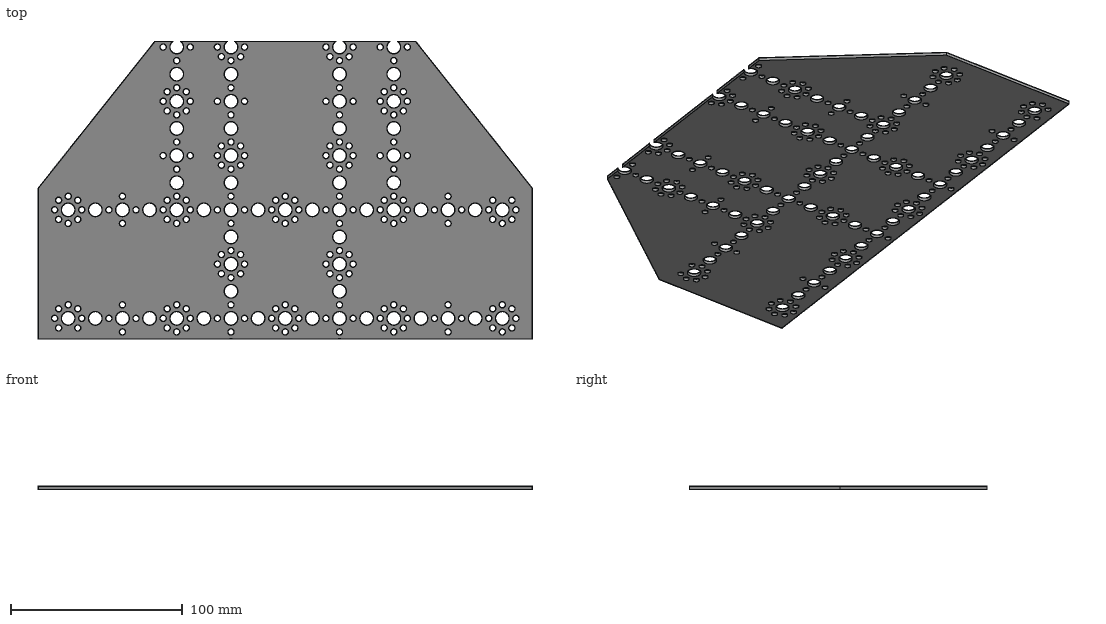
import cadquery as cq
import math

WIDTH = 288.0
DEPTH = 173.5
THICKNESS = 2.0
BACK_EDGE_LENGTH = 152.0
SIDE_EDGE_LENGTH = 87.8

LAST_COLUMN = 8
LAST_ROW = 10
ROW_SPAN = 253.0
PITCH = ROW_SPAN / (2 * LAST_COLUMN)
FRONT_ROW_MARGIN = 12.0
LARGE_DIAMETER = 7.8
SMALL_DIAMETER = 3.5
RING_RADIUS = PITCH / 2

FULL_ROWS = (0, 4)
COLUMN_START_ROWS = {-4: 4, -2: -1, 2: -1, 4: 4}

OMITTED_RING_HOLES = ((-LAST_COLUMN, 0, 270), (LAST_COLUMN, 4, 90))


def grid_cells():
    """Grid cells (column, row) holding a large hole, along all rows and columns of the pattern."""
    cells = set()
    for row in FULL_ROWS:
        for column in range(-LAST_COLUMN, LAST_COLUMN + 1):
            cells.add((column, row))
    for column, start_row in COLUMN_START_ROWS.items():
        for row in range(start_row, LAST_ROW + 1):
            cells.add((column, row))
    return sorted(cells)


def cell_center(column, row):
    return column * PITCH, -DEPTH / 2 + FRONT_ROW_MARGIN + row * PITCH


def ring_angles(column, row):
    """Angles of the small holes: none at cells with an odd index, else four and eight in turn."""
    if column % 2 or row % 2:
        return []
    step = 45 if (column + row) % 4 == 0 else 90
    return [angle for angle in range(0, 360, step) if (column, row, angle) not in OMITTED_RING_HOLES]


def small_hole_centers(cells):
    """Centers of the small holes that lie wholly inside the back edge."""
    centers = []
    for column, row in cells:
        x, y = cell_center(column, row)
        for angle in ring_angles(column, row):
            hole_x = x + RING_RADIUS * math.cos(math.radians(angle))
            hole_y = y + RING_RADIUS * math.sin(math.radians(angle))
            if hole_y + SMALL_DIAMETER / 2 < DEPTH / 2:
                centers.append((hole_x, hole_y))
    return centers


def plate():
    shoulder_y = -DEPTH / 2 + SIDE_EDGE_LENGTH
    outline = [
        (-WIDTH / 2, -DEPTH / 2),
        (WIDTH / 2, -DEPTH / 2),
        (WIDTH / 2, shoulder_y),
        (BACK_EDGE_LENGTH / 2, DEPTH / 2),
        (-BACK_EDGE_LENGTH / 2, DEPTH / 2),
        (-WIDTH / 2, shoulder_y),
    ]
    return cq.Workplane("XY").polyline(outline).close().extrude(THICKNESS)


def pins(centers, diameter):
    """Cylinders through the plate thickness, used to cut holes."""
    return cq.Workplane("XY").pushPoints(centers).circle(diameter / 2).extrude(THICKNESS)


cells = grid_cells()
large_holes = pins([cell_center(column, row) for column, row in cells], LARGE_DIAMETER)
small_holes = pins(small_hole_centers(cells), SMALL_DIAMETER)
result = plate().cut(large_holes).cut(small_holes)